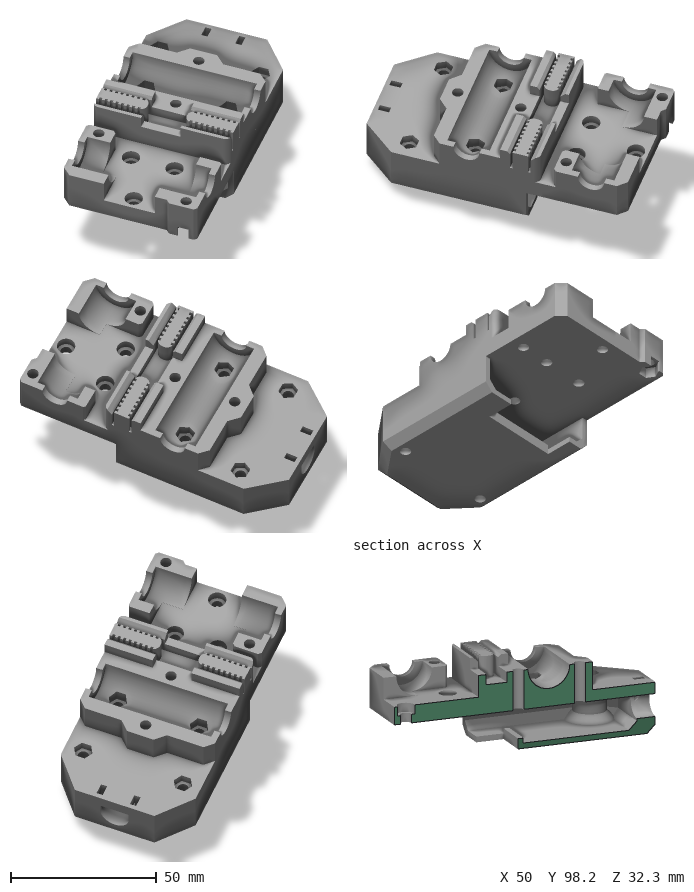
import cadquery as cq
import math


WIDTH = 50.0
LENGTH = 98.2
HALF_WIDTH = WIDTH / 2
BACK_EDGE_HALF = 14.7
SIDE_END_Y = 85.9
CORNER_CUT = 3.0
HOLE_RADIUS = 2.0

CARRIAGE_Z = 13.9
PLATE_TOP = 18.2
FLOOR_TOP = 20.4
LAND_TOP = 28.2
CLAMP_TOP = 32.3

FRONT_Y = 1.4
NOSE_START_X = 13.65
NOSE_END_CUT = 1.0

LAND_BACK_Y = 71.5
LAND_BULGE_Y = 75.0
LAND_BULGE_HALF = 4.9
LAND_FRONT_Y = 32.5
LAND_FRONT_FILLET = 2.1

BLOCK_STEP_Y = 14.0
BLOCK_FRONT_X = 9.3
LEFT_BLOCK_X = 14.3
LEFT_BLOCK_BACK_Y = 27.4
LEFT_BLOCK_CUT = 1.0
RIGHT_BLOCK_X = 17.0
RIGHT_BLOCK_BACK_Y = 25.3
RIGHT_BLOCK_CUT = 0.7

BEARING_RADIUS = 7.7
BEARING_HALF_LENGTH = 22.7
ROD_RADIUS = 4.7
BEARING_YS = (13.7, 58.7)

CHANNEL_FRONT_Y = 35.5
CHANNEL_BACK_Y = 43.0
CHANNEL_FLOOR = 24.55
CLAMP_INNER_X = 7.2
CLAMP_BACK_Y = 46.5
BACK_WALL_CUT = 1.0
FRONT_WALL_CUT = 1.8
BELT_GAP = 0.9
ISLAND_FILLET = 2.6
TOOTH_GAP = 1.0
TOOTH_DEPTH = 0.9
TOOTH_GAP_COUNT = 8
TOOTH_ROW_LENGTH = 14.0
TOOTH_PITCH = TOOTH_ROW_LENGTH / (TOOTH_GAP_COUNT - 1)
FIRST_GAP_INSET = 1.5

NUT_FLATS = 5.9
BACK_SCREW_X = 18.5
BACK_SCREW_Y = 81.5
BACK_NUT_DEPTH = 3.0
TROUGH_SCREW_X = 15.0
TROUGH_NUT_FLOOR = 17.0
LAND_HOLE_YS = (47.4, 70.2)
LEFT_BLOCK_HOLE = (-19.6, 24.5)
NOSE_HOLE = (20.1, 3.0)
NOSE_NUT_SLOT = 4.0
NOSE_NUT_DEPTH = 4.1
FLOOR_HOLES = ((-8.0, 24.6), (8.0, 24.6), (0, 5.8))
COUNTERBORE_RADIUS = 3.1
COUNTERBORE_DEPTH = 3.2

TIE_X = 6.2
TIE_WIDTH = 2.3
TIE_BACK_Y = 96.6
TIE_FRONT_Y = 92.6
TIE_RAMP_FRONT_Y = 93.1

HOUSING_FRONT_Y = 37.1
WALL = 2.1
CAVITY_BACK_Y = 91.3
CAVITY_CUT = 2.9
BOSS_RADIUS = 6.0
CABLE_RADIUS = 5.2
CABLE_Z = 11.1
FLOOR_NOTCH_LEFT = -12.6
FLOOR_NOTCH_RIGHT = 16.4
FLOOR_NOTCH_BACK_Y = 47.2
FLOOR_LIP_TOP = 3.8
FLOOR_LIP_THICKNESS = 2.1


def box(x_range, y_range, z_range):
    """Axis-aligned box between the given limits."""
    sizes = [end - start for start, end in (x_range, y_range, z_range)]
    corner = (x_range[0], y_range[0], z_range[0])
    return cq.Workplane("XY").box(*sizes, centered=False).translate(corner)


def prism(points, bottom, top):
    """Upright prism over a closed polygon."""
    return cq.Workplane("XY").workplane(offset=bottom).polyline(points).close().extrude(top - bottom)


def side_prism(points, x_start, x_end):
    """Prism along X over a closed polygon of (Y, Z) points."""
    return cq.Workplane("YZ").workplane(offset=x_start).polyline(points).close().extrude(x_end - x_start)


def cylinder(x, y, radius, bottom, top):
    """Upright cylinder."""
    return cq.Workplane("XY").workplane(offset=bottom).center(x, y).circle(radius).extrude(top - bottom)


def rod(y, radius, half_length):
    """Cylinder along X on the bearing axis height."""
    plane = cq.Workplane("YZ").workplane(offset=-half_length)
    return plane.center(y, LAND_TOP).circle(radius).extrude(2 * half_length)


def nut(x, y, bottom, top):
    """Upright hexagon with two corners along X."""
    corner_diameter = NUT_FLATS / math.cos(math.pi / 6)
    plane = cq.Workplane("XY").workplane(offset=bottom)
    return plane.center(x, y).polygon(6, corner_diameter).extrude(top - bottom)



def carriage_front_outline():
    """Front edge from the right side to the left side, with the nose on the right."""
    nose_cut_end = NOSE_START_X + FRONT_Y
    return [
        (HALF_WIDTH, NOSE_END_CUT),
        (HALF_WIDTH - NOSE_END_CUT, 0),
        (nose_cut_end, 0),
        (NOSE_START_X, FRONT_Y),
        (CORNER_CUT - HALF_WIDTH, FRONT_Y),
        (-HALF_WIDTH, FRONT_Y + CORNER_CUT),
    ]


def back_outline():
    """Slanted back edge from the left side to the right side."""
    return [
        (-HALF_WIDTH, SIDE_END_Y),
        (-BACK_EDGE_HALF, LENGTH),
        (BACK_EDGE_HALF, LENGTH),
        (HALF_WIDTH, SIDE_END_Y),
    ]


def carriage_base():
    """Thin back plate and the thicker floor in front of it."""
    plate = prism(carriage_front_outline() + back_outline(), CARRIAGE_Z, PLATE_TOP)
    floor_back = [(-HALF_WIDTH, LAND_FRONT_Y), (HALF_WIDTH, LAND_FRONT_Y)]
    floor = prism(carriage_front_outline() + floor_back, CARRIAGE_Z, FLOOR_TOP)
    return plate.union(floor)


def land():
    """Raised land that holds the back bearing and the belt clamps."""
    bulge_start = LAND_BULGE_HALF + LAND_BULGE_Y - LAND_BACK_Y
    right_back = [
        (HALF_WIDTH, LAND_BACK_Y - CORNER_CUT),
        (HALF_WIDTH - CORNER_CUT, LAND_BACK_Y),
        (bulge_start, LAND_BACK_Y),
        (LAND_BULGE_HALF, LAND_BULGE_Y),
    ]
    left_back = [(-x, y) for x, y in reversed(right_back)]
    front = [(-HALF_WIDTH, LAND_FRONT_Y), (HALF_WIDTH, LAND_FRONT_Y)]
    lower = prism(front + right_back + left_back, CARRIAGE_Z, LAND_TOP)
    clamp_y = (LAND_FRONT_Y, CLAMP_BACK_Y)
    clamps = box((-HALF_WIDTH, HALF_WIDTH), clamp_y, (LAND_TOP, CLAMP_TOP))
    gap = box((-CLAMP_INNER_X, CLAMP_INNER_X), clamp_y, (LAND_TOP, CLAMP_TOP))
    corner_relief = land_front_corner_relief()
    return lower.union(clamps.cut(gap)).cut(corner_relief)


def land_front_corner_relief():
    """Material outside the two rounded vertical corners at the front of the land."""
    strip_y = (LAND_FRONT_Y, CLAMP_BACK_Y)
    strip_z = (FLOOR_TOP, CLAMP_TOP)
    strip = box((-HALF_WIDTH, HALF_WIDTH), strip_y, strip_z)
    return strip.cut(strip.edges("|Z and <Y").fillet(LAND_FRONT_FILLET))


def front_blocks():
    """Left and right blocks that hold the front bearing."""
    left = [
        (-HALF_WIDTH, FRONT_Y),
        (-BLOCK_FRONT_X, FRONT_Y),
        (-BLOCK_FRONT_X, BLOCK_STEP_Y),
        (-LEFT_BLOCK_X, BLOCK_STEP_Y),
        (-LEFT_BLOCK_X, LEFT_BLOCK_BACK_Y - LEFT_BLOCK_CUT),
        (-LEFT_BLOCK_X - LEFT_BLOCK_CUT, LEFT_BLOCK_BACK_Y),
        (LEFT_BLOCK_CUT - HALF_WIDTH, LEFT_BLOCK_BACK_Y),
        (-HALF_WIDTH, LEFT_BLOCK_BACK_Y - LEFT_BLOCK_CUT),
    ]
    right = [
        (HALF_WIDTH, 0),
        (BLOCK_FRONT_X, 0),
        (BLOCK_FRONT_X, BLOCK_STEP_Y),
        (RIGHT_BLOCK_X, BLOCK_STEP_Y),
        (RIGHT_BLOCK_X, RIGHT_BLOCK_BACK_Y),
        (HALF_WIDTH - RIGHT_BLOCK_CUT, RIGHT_BLOCK_BACK_Y),
        (HALF_WIDTH, RIGHT_BLOCK_BACK_Y - RIGHT_BLOCK_CUT),
    ]
    blocks = prism(left, CARRIAGE_Z, LAND_TOP).union(prism(right, CARRIAGE_Z, LAND_TOP))
    outline_back = [(-HALF_WIDTH, LAND_FRONT_Y), (HALF_WIDTH, LAND_FRONT_Y)]
    return blocks.intersect(prism(carriage_front_outline() + outline_back, CARRIAGE_Z, LAND_TOP))


def bearing_cut(y):
    """Bearing trough with the thinner rod passage through both end walls."""
    return rod(y, BEARING_RADIUS, BEARING_HALF_LENGTH).union(rod(y, ROD_RADIUS, HALF_WIDTH))


def belt_channel():
    """Channel across the carriage with bevelled lead-ins at the clamp walls."""
    profile = [
        (CHANNEL_FRONT_Y, CHANNEL_FLOOR),
        (CHANNEL_FRONT_Y, CLAMP_TOP - FRONT_WALL_CUT),
        (CHANNEL_FRONT_Y - FRONT_WALL_CUT, CLAMP_TOP),
        (CHANNEL_BACK_Y + BACK_WALL_CUT, CLAMP_TOP),
        (CHANNEL_BACK_Y, CLAMP_TOP - BACK_WALL_CUT),
        (CHANNEL_BACK_Y, CHANNEL_FLOOR),
    ]
    return side_prism(profile, -HALF_WIDTH, HALF_WIDTH)


def right_belt_island():
    """Toothed island in the channel that the belt loops around, on the +X side."""
    front = CHANNEL_FRONT_Y + BELT_GAP
    back = CHANNEL_BACK_Y - BELT_GAP
    height = (CHANNEL_FLOOR, CLAMP_TOP)
    island = box((CLAMP_INNER_X, HALF_WIDTH), (front, back), height)
    island = island.edges("|Z and <X").fillet(ISLAND_FILLET)
    for index in range(TOOTH_GAP_COUNT):
        middle = HALF_WIDTH - FIRST_GAP_INSET - index * TOOTH_PITCH
        gap_x = (middle - TOOTH_GAP / 2, middle + TOOTH_GAP / 2)
        island = island.cut(box(gap_x, (front, front + TOOTH_DEPTH), height))
        island = island.cut(box(gap_x, (back - TOOTH_DEPTH, back), height))
    return island


def tie_slot(x):
    """Cable tie slot: straight through the plate, ending on a 45-degree ramp in the housing."""
    ramp_bottom = CARRIAGE_Z - (TIE_BACK_Y - TIE_RAMP_FRONT_Y)
    profile = [
        (TIE_BACK_Y, PLATE_TOP),
        (TIE_BACK_Y, CARRIAGE_Z),
        (TIE_RAMP_FRONT_Y, ramp_bottom),
        (TIE_FRONT_Y, ramp_bottom),
        (TIE_FRONT_Y, PLATE_TOP),
    ]
    return side_prism(profile, x - TIE_WIDTH / 2, x + TIE_WIDTH / 2)


def nose_nut_pocket():
    """Nut pocket under the nose, opened to the front by a slot."""
    x, y = NOSE_HOLE
    top = CARRIAGE_Z + NOSE_NUT_DEPTH
    slot = box((x - NOSE_NUT_SLOT / 2, x + NOSE_NUT_SLOT / 2), (0, y), (CARRIAGE_Z, top))
    return nut(x, y, CARRIAGE_Z, top).union(slot)


def make_carriage():
    """Carriage with its bearing troughs, belt clamps and holes."""
    body = carriage_base().union(land()).union(front_blocks())
    for y in BEARING_YS:
        body = body.cut(bearing_cut(y))
    island = right_belt_island()
    body = body.cut(belt_channel()).union(island).union(island.mirror("YZ"))

    plain_holes = [(0, y) for y in LAND_HOLE_YS] + [LEFT_BLOCK_HOLE, NOSE_HOLE]
    for x, y in plain_holes:
        body = body.cut(cylinder(x, y, HOLE_RADIUS, CARRIAGE_Z, LAND_TOP))
    for x, y in FLOOR_HOLES:
        body = body.cut(cylinder(x, y, HOLE_RADIUS, CARRIAGE_Z, FLOOR_TOP))
        counterbore_floor = FLOOR_TOP - COUNTERBORE_DEPTH
        body = body.cut(cylinder(x, y, COUNTERBORE_RADIUS, counterbore_floor, FLOOR_TOP))
    for side in (-1, 1):
        back_x = side * BACK_SCREW_X
        body = body.cut(cylinder(back_x, BACK_SCREW_Y, HOLE_RADIUS, CARRIAGE_Z, PLATE_TOP))
        body = body.cut(nut(back_x, BACK_SCREW_Y, PLATE_TOP - BACK_NUT_DEPTH, PLATE_TOP))
        trough_x = side * TROUGH_SCREW_X
        trough_y = BEARING_YS[1]
        body = body.cut(cylinder(trough_x, trough_y, HOLE_RADIUS, CARRIAGE_Z, LAND_TOP))
        body = body.cut(nut(trough_x, trough_y, TROUGH_NUT_FLOOR, LAND_TOP))
        body = body.cut(tie_slot(side * TIE_X))
    return body.cut(nose_nut_pocket())



def housing_shell():
    """Outer block with bevelled bottom edges on every side but the open front."""
    front = [(HALF_WIDTH, HOUSING_FRONT_Y), (-HALF_WIDTH, HOUSING_FRONT_Y)]
    block = prism(front + back_outline(), 0, CARRIAGE_Z)
    return block.faces("<Z").edges("not <Y").chamfer(CORNER_CUT)


def screw_boss(side):
    """Round screw boss, flared where it meets the floor."""
    x = side * BACK_SCREW_X
    boss = cylinder(x, BACK_SCREW_Y, BOSS_RADIUS, WALL, CARRIAGE_Z)
    flare_plane = cq.Workplane("XY").workplane(offset=WALL).center(x, BACK_SCREW_Y)
    flare = flare_plane.circle(BOSS_RADIUS + CAVITY_CUT).workplane(offset=CAVITY_CUT)
    return boss.union(flare.circle(BOSS_RADIUS).loft())


def cavity():
    """Cavity open to the front and top, bevelled along the floor and around the bosses."""
    half = HALF_WIDTH - WALL
    slant = (HALF_WIDTH - BACK_EDGE_HALF) / (LENGTH - SIDE_END_Y)
    side_end_y = SIDE_END_Y - WALL
    back_half = half - slant * (CAVITY_BACK_Y - side_end_y)
    outline = [
        (half, HOUSING_FRONT_Y),
        (half, side_end_y),
        (back_half, CAVITY_BACK_Y),
        (-back_half, CAVITY_BACK_Y),
        (-half, side_end_y),
        (-half, HOUSING_FRONT_Y),
    ]
    hollow = prism(outline, WALL, CARRIAGE_Z)
    hollow = hollow.faces("<Z").edges("not <Y").chamfer(CAVITY_CUT)
    for side in (-1, 1):
        hollow = hollow.cut(screw_boss(side))
    return hollow


def cable_passage():
    """Round-bottomed cable passage through the back wall."""
    plane = cq.Workplane("XZ").workplane(offset=-LENGTH)
    passage = plane.moveTo(-CABLE_RADIUS, CARRIAGE_Z).lineTo(-CABLE_RADIUS, CABLE_Z)
    passage = passage.threePointArc((0, CABLE_Z - CABLE_RADIUS), (CABLE_RADIUS, CABLE_Z))
    return passage.lineTo(CABLE_RADIUS, CARRIAGE_Z).close().extrude(LENGTH - CAVITY_BACK_Y)


def make_housing():
    """Cable housing under the back of the carriage, with a lipped notch in its floor."""
    body = housing_shell().cut(cavity()).cut(cable_passage())
    notch_x = (FLOOR_NOTCH_LEFT, FLOOR_NOTCH_RIGHT)
    lip_y = (FLOOR_NOTCH_BACK_Y, FLOOR_NOTCH_BACK_Y + FLOOR_LIP_THICKNESS)
    body = body.cut(box(notch_x, (HOUSING_FRONT_Y, FLOOR_NOTCH_BACK_Y), (0, WALL)))
    body = body.union(box(notch_x, lip_y, (0, FLOOR_LIP_TOP)))
    for side in (-1, 1):
        body = body.cut(cylinder(side * BACK_SCREW_X, BACK_SCREW_Y, HOLE_RADIUS, 0, CARRIAGE_Z))
        body = body.cut(tie_slot(side * TIE_X))
    return body


carriage = make_carriage()
housing = make_housing()

result = cq.Compound.makeCompound([carriage.val(), housing.val()])